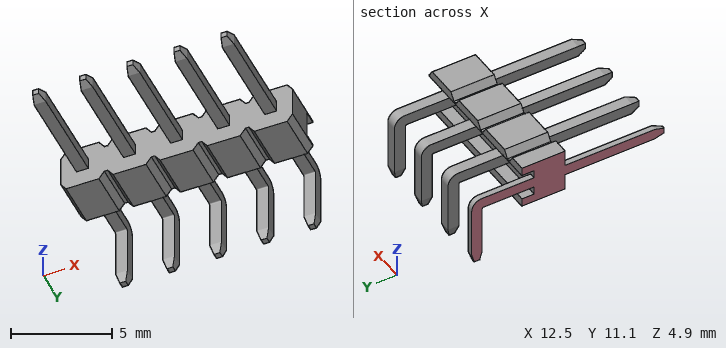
import cadquery as cq


pin_count = 5
pitch = 2.54
body_length = 12.5
body_depth = 2.5
body_height = 2.5
chamfer_width = 0.29
chamfer_height = 0.4
slot_depth = 0.7
slot_height = 1.5

pin_size = 0.64
front_reach = 5.72
total_depth = 11.14
total_height = 4.9
bend_inner_radius = 0.06
bend_outer_radius = 0.6
tip_length = 0.52
tip_size = 0.32

first_pin_x = -pitch * (pin_count - 1) / 2
pin_positions = [first_pin_x + i * pitch for i in range(pin_count)]
cell_width = body_length - pitch * (pin_count - 1)
half_height = body_height / 2
web_height = body_height - 2 * chamfer_height
front_tip_y = -front_reach
leg_back_y = total_depth - front_reach
leg_tip_z = half_height - total_height


def make_cell(x):
    """One housing cell: an octagonal prism around a pin."""
    half_width = cell_width / 2
    flat_x = half_width - chamfer_width
    flat_z = web_height / 2
    outline = [
        (x - flat_x, -half_height),
        (x + flat_x, -half_height),
        (x + half_width, -flat_z),
        (x + half_width, flat_z),
        (x + flat_x, half_height),
        (x - flat_x, half_height),
        (x - half_width, flat_z),
        (x - half_width, -flat_z),
    ]
    return cq.Workplane("XZ").polyline(outline).close().extrude(-body_depth)


def make_housing():
    """Cells joined by a full-length web, with a channel along the back."""
    housing = cq.Workplane("XY").box(
        body_length, body_depth, web_height, centered=(True, False, True)
    )
    for x in pin_positions:
        housing = housing.union(make_cell(x))
    slot = (
        cq.Workplane("XY")
        .box(body_length, slot_depth, slot_height, centered=(True, False, True))
        .translate((0, body_depth - slot_depth, 0))
    )
    return housing.cut(slot)


def make_tip(end_plane):
    """Square taper from the pin section down to the blunt end."""
    return (
        cq.Workplane(end_plane)
        .rect(pin_size, pin_size)
        .workplane(offset=tip_length)
        .rect(tip_size, tip_size)
        .loft(ruled=True, combine=True)
    )


def make_pin():
    """One bent pin at X = 0: horizontal shaft, rounded bend, leg and two tips."""
    half_pin = pin_size / 2
    shaft_start_y = front_tip_y + tip_length
    leg_front_y = leg_back_y - pin_size
    leg_end_z = leg_tip_z + tip_length
    shaft = (
        cq.Workplane("YZ")
        .moveTo(shaft_start_y, -half_pin)
        .lineTo(leg_front_y - bend_inner_radius, -half_pin)
        .radiusArc((leg_front_y, -half_pin - bend_inner_radius), bend_inner_radius)
        .lineTo(leg_front_y, leg_end_z)
        .lineTo(leg_back_y, leg_end_z)
        .lineTo(leg_back_y, half_pin - bend_outer_radius)
        .radiusArc((leg_back_y - bend_outer_radius, half_pin), -bend_outer_radius)
        .lineTo(shaft_start_y, half_pin)
        .close()
        .extrude(half_pin, both=True)
    )
    front_plane = cq.Plane(origin=(0, shaft_start_y, 0), xDir=(1, 0, 0), normal=(0, -1, 0))
    leg_plane = cq.Plane(
        origin=(0, leg_back_y - half_pin, leg_end_z), xDir=(1, 0, 0), normal=(0, 0, -1)
    )
    return shaft.union(make_tip(front_plane)).union(make_tip(leg_plane))


result = make_housing()
pin = make_pin()
for pin_x in pin_positions:
    result = result.union(pin.translate((pin_x, 0, 0)))